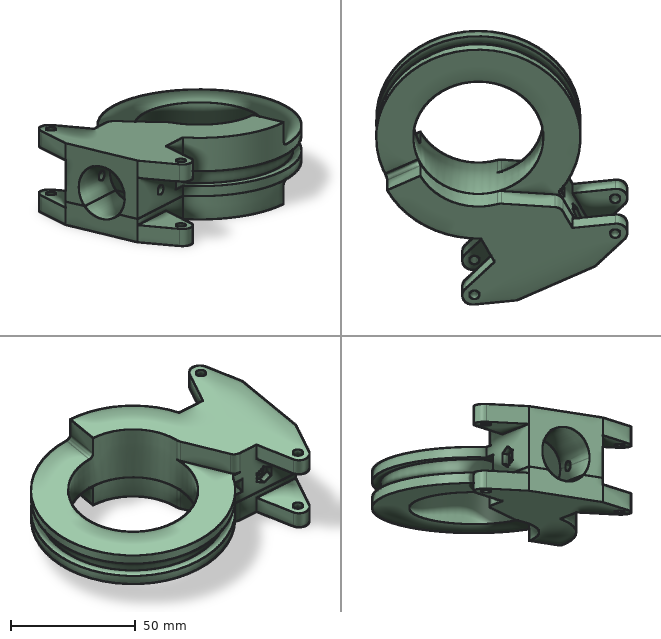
import cadquery as cq
import math

ring_radius = 40.9
bore_radius = 52.0 / 2
ring_height = 15.0
groove_radius = 37.5
groove_width = 6.4

block_width = 35.0
block_height = block_width
front_y = ring_radius - 109.9
side_x = block_width / 2
top_z = block_height / 2
split_z = -ring_height / 2
slope_angle = 31.0
slope_end_x = 3.5
block_fillet = 4.0
root_fillet = 2.0

socket_diameter = 22.3
socket_depth = 22.0

ear_hole_x = 31.5
ear_tip_x = 36.5
ear_radius = 4.3
ear_half_root = 10.0
ear_thickness = 7.4
ear_y = front_y + ear_half_root
hole_diameter = 4.0

screw_y = -52.9
nut_flats = 7.3
nut_depth = 3.0

passage_front_y = -42.0
passage_floor_y = -36.1


def z_cylinder(radius, height):
    return cq.Workplane("XY").circle(radius).extrude(height / 2, both=True)


def annulus(height):
    return z_cylinder(ring_radius, height).cut(z_cylinder(bore_radius, height))


def on_circle(radius, x):
    """Point on the lower half of a circle about the origin."""
    return (x, -math.sqrt(radius**2 - x**2))


def clamp_block():
    """Neck and quarter-ring jaw, extruded over the full height."""
    slope_end = on_circle(bore_radius, slope_end_x)
    slope_run = slope_end_x + side_x
    slope_start = (-side_x, slope_end[1] - slope_run * math.tan(math.radians(slope_angle)))
    block = (
        cq.Workplane("XY", origin=(0, 0, -top_z))
        .moveTo(bore_radius, 0)
        .lineTo(ring_radius, 0)
        .threePointArc(on_circle(ring_radius, ring_radius / 2), on_circle(ring_radius, side_x))
        .lineTo(side_x, front_y)
        .lineTo(-side_x, front_y)
        .lineTo(*slope_start)
        .lineTo(*slope_end)
        .threePointArc(on_circle(bore_radius, bore_radius / 2), (bore_radius, 0))
        .close()
        .extrude(block_height)
    )
    start_edge = cq.selectors.NearestToPointSelector((*slope_start, 0))
    end_edge = cq.selectors.NearestToPointSelector((*slope_end, 0))
    return block.edges(start_edge + end_edge).fillet(block_fillet)


def square_neck():
    """Sharp-cornered neck that joins the block to the ring over the ring's height."""
    length = -bore_radius - front_y
    neck = cq.Workplane("XY").box(block_width, length, ring_height, centered=(True, False, True))
    return neck.translate((0, front_y, 0)).cut(z_cylinder(bore_radius, ring_height))


def jaw_root_fillets():
    """Concave fillets where the jaw's end face rises from the ring."""
    height = ring_height + 2 * root_fillet
    strip = cq.Workplane("XY").box(ring_radius, root_fillet, height, centered=(False, False, True))
    for side in (1, -1):
        rounding = (
            cq.Workplane("YZ")
            .center(root_fillet, side * height / 2)
            .circle(root_fillet)
            .extrude(ring_radius)
        )
        strip = strip.cut(rounding)
    return strip.intersect(annulus(height))


def ear(side, bottom_z):
    """Tapered ear whose edges are tangent to its round tip; side is +1 or -1 along X."""
    centre_x = ear_tip_x - ear_radius
    length = centre_x - side_x
    tangent_angle = math.pi - math.atan2(ear_half_root, length) - math.acos(
        ear_radius / math.hypot(length, ear_half_root)
    )
    tangent_x = side * (centre_x + ear_radius * math.cos(tangent_angle))
    tangent_y = ear_radius * math.sin(tangent_angle)
    return (
        cq.Workplane("XY", origin=(0, ear_y, bottom_z))
        .moveTo(0, ear_half_root)
        .lineTo(side * side_x, ear_half_root)
        .lineTo(tangent_x, tangent_y)
        .threePointArc((side * ear_tip_x, 0), (tangent_x, -tangent_y))
        .lineTo(side * side_x, -ear_half_root)
        .lineTo(0, -ear_half_root)
        .close()
        .extrude(ear_thickness)
    )


def ear_holes():
    return (
        cq.Workplane("XY", origin=(0, ear_y, 0))
        .pushPoints([(-ear_hole_x, 0), (ear_hole_x, 0)])
        .circle(hole_diameter / 2)
        .extrude(block_height / 2, both=True)
    )


def groove():
    """Annular channel around the rim of the ring."""
    return z_cylinder(ring_radius, groove_width).cut(z_cylinder(groove_radius, groove_width))


def groove_passage():
    """Slot along X through the block, with a rounded convex floor."""
    rod_radius = groove_width / 2
    rod_y = passage_floor_y + rod_radius
    length = rod_y - passage_front_y
    slot = cq.Workplane("XY").box(block_width, length, groove_width, centered=(True, False, True))
    slot = slot.translate((0, passage_front_y, 0))
    rod = cq.Workplane("YZ").center(rod_y, 0).circle(rod_radius).extrude(side_x, both=True)
    return slot.cut(rod)


def socket():
    return (
        cq.Workplane("XZ", origin=(0, front_y, 0))
        .circle(socket_diameter / 2)
        .extrude(-socket_depth)
    )


def screw_hole():
    shaft = cq.Workplane("YZ").center(screw_y, 0).circle(hole_diameter / 2).extrude(side_x, both=True)
    nut_corners = nut_flats / math.cos(math.pi / 6)
    nut = (
        cq.Workplane("YZ", origin=(-side_x, screw_y, 0))
        .transformed(rotate=(0, 0, 90))
        .polygon(6, nut_corners)
        .extrude(nut_depth)
    )
    return shaft.union(nut)


def whole_clamp():
    body = clamp_block().union(annulus(ring_height)).union(square_neck()).union(jaw_root_fillets())
    for side in (-1, 1):
        for bottom_z in (-top_z, top_z - ear_thickness):
            body = body.union(ear(side, bottom_z))
    for cutter in (groove(), groove_passage(), socket(), screw_hole(), ear_holes()):
        body = body.cut(cutter)
    return body


def below_split():
    """Box around everything under the parting plane."""
    size = 3 * ring_radius
    return cq.Workplane("XY").box(2 * size, 2 * size, size).translate((0, 0, split_z - size / 2))


clamp = whole_clamp()
housing = clamp.cut(below_split())
cap = clamp.intersect(below_split())

result = cq.Compound.makeCompound([housing.val(), cap.val()])